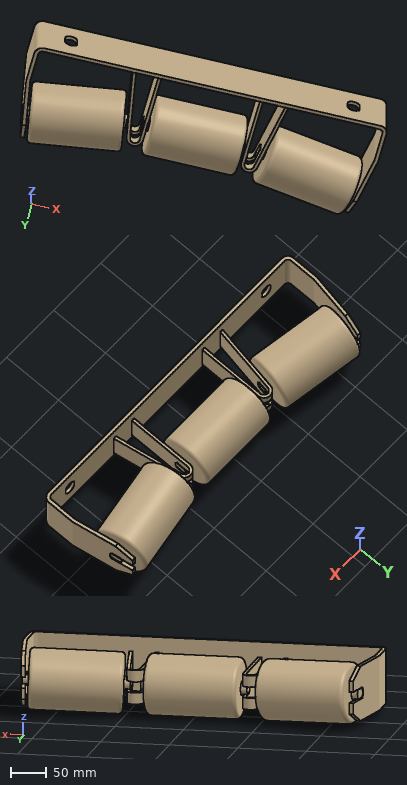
import cadquery as cq
import math


frame_thickness = 6.0
inner_radius = 6.0
outer_radius = inner_radius + frame_thickness
strip_width = 80.5
lean = 10.0
frame_length = 520.0
kink_y = 56.0
end_plate_length = 101.0
corner_cut_length = 29.0
corner_cut_width = 16.0
mount_slot_x = 208.5
mount_slot_width = 18.0
mount_slot_length = 26.0

roller_diameter = 88.9
roller_length = 136.0
roller_edge_radius = 6.0
side_gap = 4.5
axle_diameter = 20.0
axle_flat_width = 14.0
axle_slot_width = 16.0
journal_gap = 1.5
middle_roller_y = 99.7
middle_roller_z = -7.0
side_roller_y = 115.16
side_roller_z = -3.34
side_roller_tilt = 2.5

bracket_thickness = 5.0
bracket_width = 50.0
bracket_outer_radius = 12.0
bracket_bend_y = 114.0

half_length = frame_length / 2
frame_bend_x = half_length - outer_radius
leg_face = roller_length / 2 + side_gap
axle_half_length = leg_face + bracket_thickness
flat_start = leg_face - journal_gap
bracket_inner_radius = bracket_outer_radius - bracket_thickness
bracket_bend_x = leg_face + bracket_outer_radius
lean_angle = math.radians(lean)
lean_cos = math.cos(lean_angle)
lean_sin = math.sin(lean_angle)

slanted_face = bracket_bend_x * lean_cos + bracket_bend_y * lean_sin + bracket_outer_radius
side_roller_x = (slanted_face + leg_face - side_roller_y * lean_sin) / lean_cos


def polar(center, radius, degrees):
    """Point on a circle around center."""
    angle = math.radians(degrees)
    return (center[0] + radius * math.cos(angle), center[1] + radius * math.sin(angle))


def along_plate(point, distance):
    """Point moved up the leaning right end plate."""
    return (point[0] - distance * lean_sin, point[1] + distance * lean_cos)


def mirrored(body):
    """Left-hand copy of a right-hand body."""
    return body.mirror("YZ")


def place_middle(body):
    """Put a body drawn on the X axis at the middle roller."""
    return body.translate((0, middle_roller_y, middle_roller_z))


def place_side(body):
    """Put a body drawn on the X axis at the right side roller: outer end raised, then leaned."""
    tilted = body.rotate((0, 0, 0), (0, 1, 0), -side_roller_tilt)
    leaned = tilted.rotate((0, 0, 0), (0, 0, 1), lean)
    return leaned.translate((side_roller_x, side_roller_y, side_roller_z))


def make_axle_slot(direction):
    """Slot for one axle end: its closed end fits the round axle, and it opens towards +Y.

    Along X it runs from inside the roller gap to the crest of the bracket bend, so that
    each leg's slot opens through its own half of the bend.
    """
    reach = roller_diameter
    inner_end = leg_face - side_gap
    depth = bracket_bend_x - inner_end
    middle = direction * (inner_end + depth / 2)
    bottom = make_cylinder(axle_diameter, depth / 2).translate((middle, 0, 0))
    band = cq.Workplane("XY", origin=(middle, 0, 0)).box(depth, axle_diameter, axle_slot_width)
    opening = cq.Workplane("XY", origin=(middle, reach / 2, 0)).box(depth, reach, axle_slot_width)
    return bottom.intersect(band).union(opening)


def make_cylinder(diameter, half_length_x):
    """Cylinder along X, centred on the origin."""
    start = cq.Workplane("YZ", origin=(-half_length_x, 0, 0))
    return start.circle(diameter / 2).extrude(2 * half_length_x)


def make_roller():
    """Roller with its axle along X, flats on the axle ends."""
    drum = make_cylinder(roller_diameter, roller_length / 2)
    drum = drum.edges("%CIRCLE").fillet(roller_edge_radius)
    journal = make_cylinder(axle_diameter, flat_start)
    flats = cq.Workplane("XY").box(2 * axle_half_length, axle_diameter, axle_flat_width)
    axle_ends = make_cylinder(axle_diameter, axle_half_length).intersect(flats)
    return drum.union(journal).union(axle_ends)


def make_frame():
    """Right half, from the middle to the end plate, with its slots and cut corners; then mirrored."""
    base_bend = (frame_bend_x, outer_radius)
    kink = (frame_bend_x, kink_y)
    outer_kink = polar(kink, outer_radius, lean)
    inner_kink = polar(kink, inner_radius, lean)
    half = (
        cq.Workplane("XY", origin=(0, 0, -strip_width / 2))
        .lineTo(frame_bend_x, 0)
        .threePointArc(polar(base_bend, outer_radius, -45), polar(base_bend, outer_radius, 0))
        .lineTo(half_length, kink_y)
        .threePointArc(polar(kink, outer_radius, lean / 2), outer_kink)
        .lineTo(*along_plate(outer_kink, end_plate_length))
        .lineTo(*along_plate(inner_kink, end_plate_length))
        .lineTo(*inner_kink)
        .threePointArc(polar(kink, inner_radius, lean / 2), polar(kink, inner_radius, 0))
        .lineTo(half_length - frame_thickness, outer_radius)
        .threePointArc(polar(base_bend, inner_radius, -45), polar(base_bend, inner_radius, -90))
        .lineTo(0, frame_thickness)
        .close()
        .extrude(strip_width)
    )
    half = half.cut(make_corner_cuts(along_plate(outer_kink, end_plate_length)))
    half = half.cut(place_side(make_axle_slot(1)))
    mount_slot = (
        cq.Workplane("XZ", origin=(mount_slot_x, 0, 0))
        .slot2D(mount_slot_length, mount_slot_width, 90)
        .extrude(-frame_thickness)
    )
    half = half.cut(mount_slot)
    return half.union(mirrored(half))


def make_corner_cuts(plate_tip):
    """Triangular wedges that cut both free corners of the right end plate."""
    edge = strip_width / 2
    cuts = cq.Workplane("XY")
    for side in (-1, 1):
        wedge = (
            cq.Workplane("YZ")
            .moveTo(-corner_cut_length, side * edge)
            .lineTo(0, side * edge)
            .lineTo(0, side * (edge - corner_cut_width))
            .close()
            .extrude(2 * frame_thickness, both=True)
            .rotate((0, 0, 0), (0, 0, 1), lean)
            .translate((plate_tip[0], plate_tip[1], 0))
        )
        cuts = cuts.add(wedge)
    return cuts.combine()


def make_bracket():
    """Right V bracket: a straight leg by the middle roller, a slanted leg by the side roller."""
    bend = (bracket_bend_x, bracket_bend_y)

    def foot(radius):
        """X where a slanted leg face meets the base plate."""
        top = polar(bend, radius, lean)
        return top[0] + (top[1] - frame_thickness) * lean_sin / lean_cos

    mid_angle = (180 + lean) / 2
    bracket = (
        cq.Workplane("XY", origin=(0, 0, middle_roller_z - bracket_width / 2))
        .moveTo(leg_face, frame_thickness)
        .lineTo(leg_face, bracket_bend_y)
        .threePointArc(polar(bend, bracket_outer_radius, mid_angle), polar(bend, bracket_outer_radius, lean))
        .lineTo(foot(bracket_outer_radius), frame_thickness)
        .lineTo(foot(bracket_inner_radius), frame_thickness)
        .lineTo(*polar(bend, bracket_inner_radius, lean))
        .threePointArc(polar(bend, bracket_inner_radius, mid_angle), polar(bend, bracket_inner_radius, 180))
        .lineTo(leg_face + bracket_thickness, frame_thickness)
        .close()
        .extrude(bracket_width)
    )
    bracket = bracket.cut(place_middle(make_axle_slot(1)))
    return bracket.cut(place_side(make_axle_slot(-1)))


frame = make_frame()
right_bracket = make_bracket()
brackets = [right_bracket, mirrored(right_bracket)]
right_roller = place_side(make_roller())
rollers = [place_middle(make_roller()), right_roller, mirrored(right_roller)]

bodies = [frame, *brackets, *rollers]
result = cq.Compound.makeCompound([body.solids().val() for body in bodies])